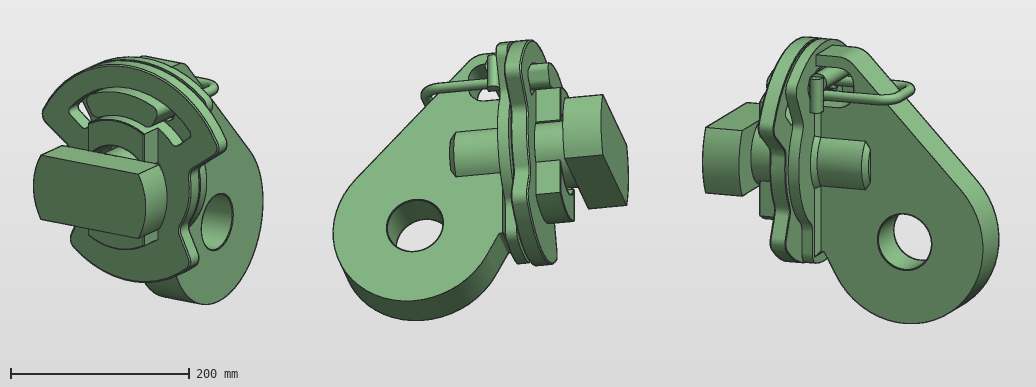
import cadquery as cq
import math


shaft_radius = 37.7
shaft_chamfer = 6.0
shaft_rear_y = 65.0
head_rear_y = -73.5
head_front_y = -117.5
head_radius = 75.2

upper_lobe_radius = 131.5
plate_corner_radius = 12.7
back_plate_front_y = -12.7
back_waist_radius = 80.3
back_lower_lobe_radius = 120.2
back_upper_flank = (-32.0, 28.0)
back_lower_flank = (0.0, 36.8)
front_plate_rear_y = -15.5
front_plate_front_y = -35.0
front_waist_radius = 81.2
front_lower_lobe_radius = 121.2
front_upper_flank = (-54.3, 29.2)
front_lower_flank = (25.7, 37.0)
front_edge_chamfer = 1.5
rear_edge_chamfer = 1.0

boss_front_y = -63.5
boss_radius = 75.5
boss_half_width = 37.5
boss_bore_radius = 45.0
boss_chamfer = 1.0

slot_outer_radius = 105.5
slot_half_angle = 52.5
slot_corner_radius = 5.7

block_inner_radius = 77.0
block_outer_radius = 104.5
block_half_angle = 29.0
block_corner_radius = 9.0
block_front_y = -51.0
window_outer_radius = 106.5
window_half_angle = 30.8

bail_wire_radius = 5.7
bail_leg_x = 36.0
bail_z = 79.5
bail_rear_y = 95.0
bail_bend_radius = 19.0

roller_radius = 10.5
roller_z = 96.0
roller_half_length = 47.5
peg_radius = 6.7
peg_end_x = 60.3
peg_top_z = 102.8

lug_thickness = 50.8
eye_y = 106.0
eye_z = -84.0
eye_outer_radius = 94.0
eye_bore_radius = 31.7
eye_chamfer = 1.0
lug_top_z = 122.5
lug_top_corner_radius = 25.5
lug_top_slope = 46.0
lug_foot_z = -103.5
lug_foot_slope = 61.3
lug_foot_fillet = 3.2
notch_depth = 45.0
notch_bottom_z = 63.8
notch_top_z = 109.8
notch_corner_radius = 19.0
weld_leg = 5.7


def slab(front_y, rear_y):
    """Return a workplane at front_y facing -Y, and the extrusion distance that reaches rear_y."""
    return cq.Workplane("XZ", origin=(0, front_y, 0)), front_y - rear_y


def disc(radius, front_y, rear_y):
    plane, depth = slab(front_y, rear_y)
    return plane.circle(radius).extrude(depth)


def strip(half_width, half_height, front_y, rear_y):
    plane, depth = slab(front_y, rear_y)
    return plane.rect(2 * half_width, 2 * half_height).extrude(depth)


def flank_blend(flank, circle_radius, side, along):
    """Blend a straight flank into a circle about the shaft with an arc of the plate corner radius.

    side is +1 for a hollow blend outside the circle and -1 for a round one inside it.
    along is +1 where the flank runs upward to the blend and -1 where it runs downward.
    Returns the point on the flank, the middle of the arc and the point on the circle.
    """
    angle, distance = math.radians(flank[0]), flank[1]
    normal = cq.Vector(math.cos(angle), math.sin(angle))
    direction = cq.Vector(-normal.y, normal.x) * along
    offset = distance + side * plate_corner_radius
    centre_distance = circle_radius + side * plate_corner_radius
    centre = normal * offset + direction * math.sqrt(centre_distance**2 - offset**2)
    on_flank = centre - normal * (side * plate_corner_radius)
    on_circle = centre * (circle_radius / centre_distance)
    toward_corner = ((on_flank - centre) + (on_circle - centre)).normalized()
    middle = centre + toward_corner * plate_corner_radius
    return [point.toTuple()[:2] for point in (on_flank, middle, on_circle)]


def lobed_plate(front_y, rear_y, upper_flank, lower_flank, waist_radius, lower_lobe_radius):
    """A plate symmetric about X = 0; its right half is drawn from the top down and mirrored."""
    top_flank, top_middle, top_circle = flank_blend(upper_flank, upper_lobe_radius, -1, 1)
    neck_flank, neck_middle, neck_circle = flank_blend(upper_flank, waist_radius, 1, 1)
    hip_flank, hip_middle, hip_circle = flank_blend(lower_flank, waist_radius, 1, -1)
    foot_flank, foot_middle, foot_circle = flank_blend(lower_flank, lower_lobe_radius, -1, -1)

    def circle_middle(start, end, radius):
        angle = (math.atan2(start[1], start[0]) + math.atan2(end[1], end[0])) / 2
        return (radius * math.cos(angle), radius * math.sin(angle))

    top = (0, upper_lobe_radius)
    bottom = (0, -lower_lobe_radius)
    plane, depth = slab(front_y, rear_y)
    return (
        plane.moveTo(*top)
        .threePointArc(circle_middle(top, top_circle, upper_lobe_radius), top_circle)
        .threePointArc(top_middle, top_flank)
        .lineTo(*neck_flank)
        .threePointArc(neck_middle, neck_circle)
        .threePointArc(circle_middle(neck_circle, hip_circle, waist_radius), hip_circle)
        .threePointArc(hip_middle, hip_flank)
        .lineTo(*foot_flank)
        .threePointArc(foot_middle, foot_circle)
        .threePointArc(circle_middle(foot_circle, bottom, lower_lobe_radius), bottom)
        .mirrorY()
        .extrude(depth)
    )


def ring_sector(inner_radius, outer_radius, half_angle, corner_radius, front_y, rear_y):
    """A piece of a ring about the shaft, centred on +Z, with rounded corners."""

    def at(radius, degrees):
        angle = math.radians(degrees)
        return (radius * math.sin(angle), radius * math.cos(angle))

    plane, depth = slab(front_y, rear_y)
    return (
        plane.moveTo(*at(inner_radius, -half_angle))
        .lineTo(*at(outer_radius, -half_angle))
        .threePointArc(at(outer_radius, 0), at(outer_radius, half_angle))
        .lineTo(*at(inner_radius, half_angle))
        .threePointArc(at(inner_radius, 0), at(inner_radius, -half_angle))
        .close()
        .extrude(depth)
        .edges("|Y")
        .fillet(corner_radius)
    )


def head_shaft():
    """Round shaft with a hammer head whose flats are level with the shaft."""
    shaft = disc(shaft_radius, head_rear_y, shaft_rear_y).faces(">Y").chamfer(shaft_chamfer)
    head = disc(head_radius, head_front_y, head_rear_y)
    head = head.intersect(strip(head_radius, shaft_radius, head_front_y, head_rear_y))
    return shaft.union(head)


def lug_profile():
    """Eye plate: a round eye, a sloping back up to the top arm and a sloping foot."""
    slope = math.radians(lug_top_slope)
    foot = math.radians(lug_foot_slope)

    def on_eye(angle):
        return (eye_y + eye_outer_radius * math.cos(angle), eye_z + eye_outer_radius * math.sin(angle))

    back_angle = math.pi / 2 - slope
    foot_angle = -math.pi / 2 - foot
    back_start = on_eye(back_angle)
    foot_start = on_eye(foot_angle)
    top_corner_y = back_start[0] - (lug_top_z - back_start[1]) / math.tan(slope)
    foot_corner_y = foot_start[0] - (lug_foot_z - foot_start[1]) / math.tan(foot)
    profile = (
        cq.Workplane("YZ")
        .moveTo(0, lug_top_z)
        .lineTo(top_corner_y, lug_top_z)
        .lineTo(*back_start)
        .threePointArc(on_eye((back_angle + foot_angle) / 2), foot_start)
        .lineTo(foot_corner_y, lug_foot_z)
        .lineTo(0, lug_foot_z)
        .close()
        .extrude(lug_thickness / 2, both=True)
    )
    top_corner = cq.selectors.NearestToPointSelector((0, top_corner_y, lug_top_z))
    foot_corner = cq.selectors.NearestToPointSelector((0, foot_corner_y, lug_foot_z))
    profile = profile.edges("|X").edges(top_corner).fillet(lug_top_corner_radius)
    return profile.edges("|X").edges(foot_corner).fillet(lug_foot_fillet)


def eye_bore():
    """Bore through the eye, flared by a chamfer at both sides."""
    half = lug_thickness / 2
    flare = eye_bore_radius + eye_chamfer
    return (
        cq.Workplane("XY", origin=(0, eye_y, eye_z))
        .polyline(
            [
                (-half, 0),
                (-half, flare),
                (eye_chamfer - half, eye_bore_radius),
                (half - eye_chamfer, eye_bore_radius),
                (half, flare),
                (half, 0),
            ]
        )
        .close()
        .revolve(360, (0, 0, 0), (1, 0, 0))
    )


def lug_notch():
    """Opening between the top arm and the rest of the lug, closed toward the eye."""
    return (
        cq.Workplane("XY")
        .box(lug_thickness, notch_depth, notch_top_z - notch_bottom_z, centered=(True, False, False))
        .translate((0, 0, notch_bottom_z))
        .edges("|X and >Y")
        .fillet(notch_corner_radius)
    )


def lug_weld():
    """Sloping weld bead along both sides and the foot of the lug."""
    inner_height = notch_bottom_z - lug_foot_z
    outer_height = inner_height + weld_leg
    return (
        cq.Workplane("XZ")
        .center(0, notch_bottom_z - outer_height / 2)
        .rect(lug_thickness + 2 * weld_leg, outer_height)
        .workplane(offset=-weld_leg)
        .center(0, weld_leg / 2)
        .rect(lug_thickness, inner_height)
        .loft()
    )


def shaft_weld():
    """Conical weld bead around the shaft on the rear of the back plate."""
    cone = cq.Solid.makeCone(
        shaft_radius + weld_leg, shaft_radius, weld_leg, cq.Vector(0, 0, 0), cq.Vector(0, 1, 0)
    )
    return cq.Workplane("XY").add(cone)


def make_padeye():
    """Weldment of the eye plate, the back plate with its latch window, and the head shaft."""
    plate = lobed_plate(
        back_plate_front_y, 0, back_upper_flank, back_lower_flank, back_waist_radius, back_lower_lobe_radius
    )
    window = ring_sector(
        boss_radius, window_outer_radius, window_half_angle, block_corner_radius, back_plate_front_y, 0
    )
    eye_plate = lug_profile().cut(lug_notch()).cut(eye_bore())
    return plate.cut(window).union(eye_plate).union(lug_weld()).union(shaft_weld()).union(head_shaft())


def make_front_plate():
    """Front plate with a two-part boss, a clearance bore and a curved slot for the latch."""
    plate = lobed_plate(
        front_plate_front_y,
        front_plate_rear_y,
        front_upper_flank,
        front_lower_flank,
        front_waist_radius,
        front_lower_lobe_radius,
    )
    plate = plate.faces("<Y").chamfer(front_edge_chamfer).faces(">Y").chamfer(rear_edge_chamfer)
    boss = disc(boss_radius, boss_front_y, front_plate_front_y)
    boss = boss.intersect(strip(boss_half_width, boss_radius, boss_front_y, front_plate_front_y))
    boss = boss.cut(disc(boss_bore_radius, boss_front_y, front_plate_front_y))
    boss = boss.faces("<Y").chamfer(boss_chamfer)
    bore = disc(boss_bore_radius, front_plate_front_y, front_plate_rear_y)
    slot = ring_sector(
        boss_radius,
        slot_outer_radius,
        slot_half_angle,
        slot_corner_radius,
        front_plate_front_y,
        front_plate_rear_y,
    )
    return plate.cut(bore).cut(slot).union(boss)


def bail():
    """Round wire handle: two legs joined by a cross wire with rounded bends."""
    bend_y = bail_rear_y - bail_bend_radius
    cross_x = bail_leg_x - bail_bend_radius
    path = (
        cq.Workplane("XY", origin=(0, 0, bail_z))
        .moveTo(-bail_leg_x, 0)
        .lineTo(-bail_leg_x, bend_y)
        .tangentArcPoint((-cross_x, bail_rear_y), relative=False)
        .lineTo(cross_x, bail_rear_y)
        .tangentArcPoint((bail_leg_x, bend_y), relative=False)
        .lineTo(bail_leg_x, 0)
    )
    return cq.Workplane("XZ", origin=(-bail_leg_x, 0, bail_z)).circle(bail_wire_radius).sweep(path)


def make_latch():
    """Latch block with its bail on the rear face."""
    block = ring_sector(
        block_inner_radius, block_outer_radius, block_half_angle, block_corner_radius, block_front_y, 0
    )
    return block.union(bail())


def make_stop():
    """Roller resting against the latch block, with an upright round-nosed peg at each end."""
    stop = cq.Workplane("YZ").center(roller_radius, roller_z).circle(roller_radius)
    stop = stop.extrude(roller_half_length, both=True)
    for side in (-1, 1):
        nose_x = side * (peg_end_x - peg_radius)
        peg = (
            cq.Workplane("XY", origin=(0, roller_radius, notch_bottom_z))
            .moveTo(side * roller_half_length, -peg_radius)
            .lineTo(nose_x, -peg_radius)
            .threePointArc((side * peg_end_x, 0), (nose_x, peg_radius))
            .lineTo(side * roller_half_length, peg_radius)
            .close()
            .extrude(peg_top_z - notch_bottom_z)
        )
        stop = stop.union(peg)
    return stop


padeye = make_padeye()
front_plate = make_front_plate()
latch = make_latch()
stop = make_stop()

result = cq.Compound.makeCompound([body.solids().val() for body in (padeye, front_plate, latch, stop)])